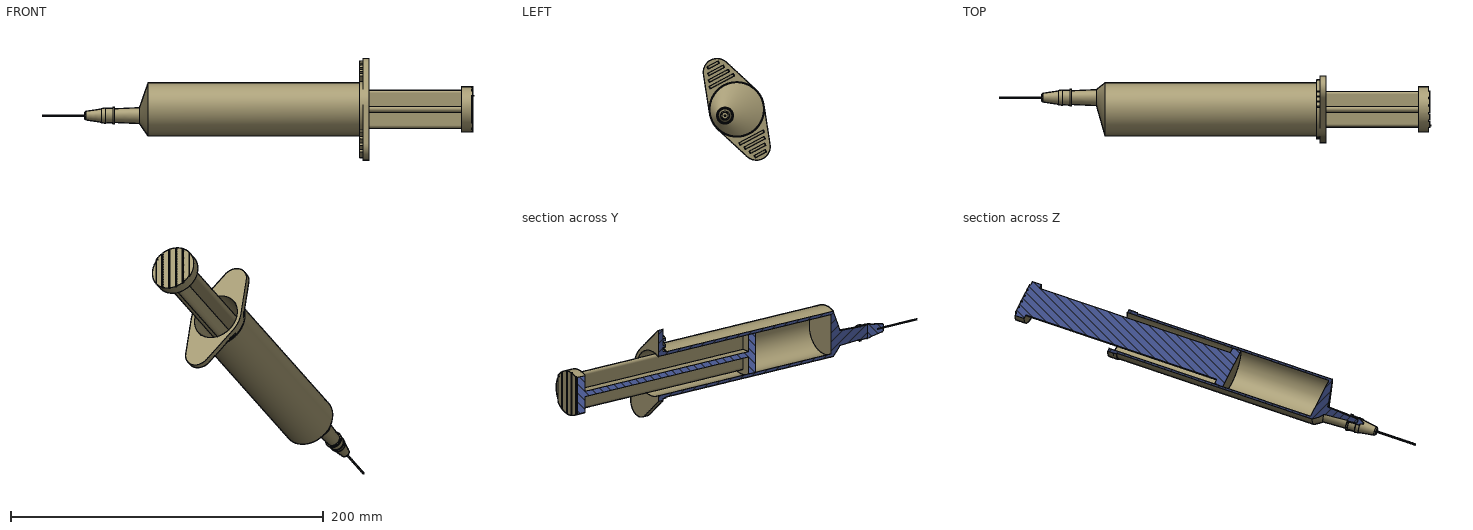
import cadquery as cq
import math


overall_length = 275.9
overall_height = 65.15

hub_start = 26.9
hub_cone_end = 37.7
collar_end = 40.2
hub_rim_start = 45.0
hub_end = 46.2
barrel_nose = 62.0
barrel_start = 67.5
grip_ridge_start = 202.6
grip_start = 204.8
grip_end = 208.8
disc_start = 267.8
disc_end = 274.3
thumb_rib_end = 275.1

grip_angle = 28.0
nozzle_offset = 8.5
nozzle_y = nozzle_offset * math.cos(math.radians(grip_angle))
nozzle_z = -nozzle_offset * math.sin(math.radians(grip_angle))

needle_radius = 0.5
needle_depth_in_hub = 5.0

hub_tip_radius = 2.85
hub_tip_chamfer = 0.8
hub_cone_radius = 4.35
collar_front_radius = 4.6
collar_radius = 5.0
sleeve_front_radius = 4.75
sleeve_radius = 4.9
hub_rim_radius = 5.4
nozzle_tip = collar_end

nozzle_tip_radius = 4.2
nozzle_base_radius = 5.2
barrel_radius = 17.1
barrel_wall = 2.0
bore_radius = barrel_radius - barrel_wall

grip_centre_radius = 17.7
grip_end_radius = 8.87
grip_end_distance = (overall_height / 2 - grip_end_radius) / math.cos(math.radians(grip_angle))
bars_per_side = 4
bar_width = 1.7
bar_edge_radius = 0.6
bar_pitch = 3.9
first_bar_distance = 20.4
longest_bar = 17.8
bar_shortening = 3.2

rod_half_width = 11.5
rod_half_height = 12.3
rod_rib_thickness = 3.9
piston_start = 130.0
piston_length = 6.0
disc_radius = 14.6
thumb_rib_count = 5
thumb_rib_pitch = 4.8
thumb_rib_width = 4.0
nub_radius = 0.3
nub_y = -10.4
nub_z = 8.7


def at_station(x, y=0.0, z=0.0):
    """YZ sketch plane at station x, its local axes along +Y and +Z."""
    return cq.Workplane("YZ", origin=(x, y, z))


def nozzle_cone(start, start_radius, end, end_radius):
    """Round taper on the nozzle axis, pointing along X."""
    outline = [(start, 0), (start, start_radius), (end, end_radius), (end, 0)]
    cone = cq.Workplane("XY").polyline(outline).close().revolve(360, (0, 0, 0), (1, 0, 0))
    return cone.translate((0, nozzle_y, nozzle_z))


def nozzle():
    return nozzle_cone(nozzle_tip, nozzle_tip_radius, barrel_nose, nozzle_base_radius)


def make_needle():
    length = hub_start + needle_depth_in_hub
    return at_station(0, nozzle_y, nozzle_z).circle(needle_radius).extrude(length)


def make_hub():
    outline = [
        (hub_start, 0),
        (hub_start, hub_tip_radius - hub_tip_chamfer),
        (hub_start + hub_tip_chamfer, hub_tip_radius),
        (hub_cone_end, hub_cone_radius),
        (hub_cone_end, collar_front_radius),
        (collar_end, collar_radius),
        (collar_end, sleeve_front_radius),
        (hub_rim_start, sleeve_radius),
        (hub_rim_start, hub_rim_radius),
        (hub_end, hub_rim_radius),
        (hub_end, 0),
    ]
    hub = cq.Workplane("XY").polyline(outline).close().revolve(360, (0, 0, 0), (1, 0, 0))
    hub = hub.translate((0, nozzle_y, nozzle_z))
    return hub.cut(nozzle()).cut(make_needle())


def grip_outline_plate():
    """Two small end circles joined to the large middle circle by tangent lines."""
    tilt = math.asin((grip_centre_radius - grip_end_radius) / grip_end_distance)
    side = math.cos(tilt)
    rise = math.sin(tilt)
    big_y = grip_centre_radius * side
    big_z = grip_centre_radius * rise
    small_y = grip_end_radius * side
    small_z = grip_end_distance + grip_end_radius * rise
    tip_z = grip_end_distance + grip_end_radius
    return (
        at_station(grip_start)
        .moveTo(big_y, big_z)
        .lineTo(small_y, small_z)
        .threePointArc((0, tip_z), (-small_y, small_z))
        .lineTo(-big_y, big_z)
        .threePointArc((-grip_centre_radius, 0), (-big_y, -big_z))
        .lineTo(-small_y, -small_z)
        .threePointArc((0, -tip_z), (small_y, -small_z))
        .lineTo(big_y, -big_z)
        .threePointArc((grip_centre_radius, 0), (big_y, big_z))
        .close()
        .extrude(grip_end - grip_start)
    )


def make_grip():
    """Plate with grip bars and a round boss on its needle side."""
    grip = grip_outline_plate()
    raised = grip_start - grip_ridge_start
    grip = grip.union(at_station(grip_ridge_start).circle(grip_centre_radius).extrude(raised))
    for i in range(bars_per_side):
        distance = first_bar_distance + i * bar_pitch
        length = longest_bar - i * bar_shortening
        for side in (1, -1):
            bar = at_station(grip_ridge_start).center(0, side * distance)
            bar = bar.rect(length, bar_width).extrude(raised)
            grip = grip.union(bar.faces("<X").edges().fillet(bar_edge_radius))
    return grip.rotate((0, 0, 0), (1, 0, 0), -grip_angle)


def make_barrel():
    """Tube open at the grip, with an offset conical shoulder leading to the nozzle."""
    along_x = cq.Vector(1, 0, 0)
    nozzle_centre = cq.Vector(barrel_nose, nozzle_y, nozzle_z)
    barrel_centre = cq.Vector(barrel_start, 0, 0)
    shoulder = cq.Solid.makeLoft([
        cq.Wire.makeCircle(nozzle_base_radius, nozzle_centre, along_x),
        cq.Wire.makeCircle(barrel_radius, barrel_centre, along_x),
    ])
    tube = at_station(barrel_start).circle(barrel_radius).extrude(grip_end - barrel_start)
    bore_start = barrel_start + barrel_wall
    bore = at_station(bore_start).circle(bore_radius).extrude(grip_end - bore_start)
    return tube.union(cq.Workplane(shoulder)).union(nozzle()).union(make_grip()).cut(bore)


def make_plunger():
    """Cross-shaped rod with rounded rib tips, a piston in the bore and a thumb disc with ribs and a nub."""
    rod_length = disc_start - piston_start
    plunger = at_station(piston_start).circle(bore_radius).extrude(piston_length)
    for half_span, angle in ((rod_half_width, 0), (rod_half_height, 90)):
        rib = at_station(piston_start).slot2D(2 * half_span, rod_rib_thickness, angle)
        plunger = plunger.union(rib.extrude(rod_length))
    disc = at_station(disc_start).circle(disc_radius).extrude(disc_end - disc_start)
    plunger = plunger.union(disc)
    rib_height = thumb_rib_end - disc_end
    thumb_ribs = (
        at_station(disc_end)
        .rarray(thumb_rib_pitch, 1, thumb_rib_count, 1)
        .rect(thumb_rib_width, 2 * disc_radius)
        .extrude(rib_height)
        .intersect(at_station(disc_end).circle(disc_radius).extrude(rib_height))
    )
    nub = at_station(disc_end, nub_y, nub_z).circle(nub_radius).extrude(overall_length - disc_end)
    return plunger.union(thumb_ribs).union(nub)


needle = make_needle()
hub = make_hub()
barrel = make_barrel()
plunger = make_plunger()

result = cq.Compound.makeCompound([needle.val(), hub.val(), barrel.val(), plunger.val()])